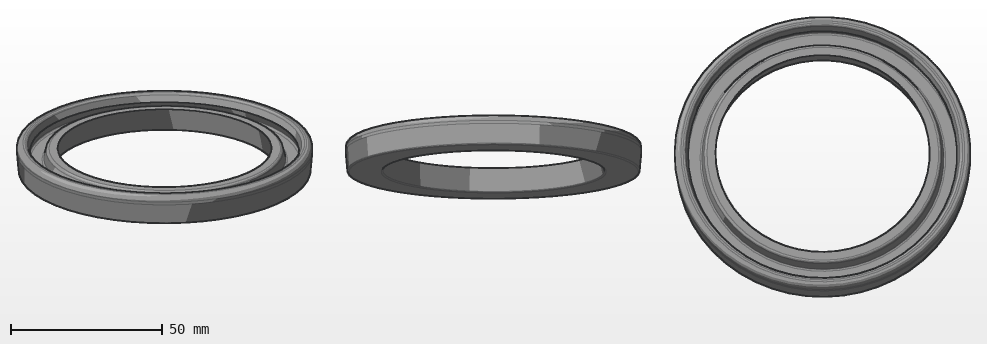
import cadquery as cq
import math

outer_diameter = 98.0
height = 10.0

rim_edge_radius = 2.0
rim_band_height = 1.0
skirt_draft = 5.0
bottom_edge_radius = 0.5
rim_inner_edge_radius = 1.0

lip_radius = 44.5
lip_height = 7.0
lip_upper_angle = 20.0
lip_undercut_angle = 15.0
floor_height = 4.0
floor_fillet = 0.6

bore_top_radius = 35.4
bore_draft = 10.0
ring_height = 8.0
ring_top_radius = 39.1
ring_draft = 15.0
ring_edge_radius = 1.0


def taper(drop, angle):
    """Radial shift of a wall that leans by angle over a vertical drop."""
    return drop * math.tan(math.radians(angle))


outer_radius = outer_diameter / 2
band_top = height - rim_edge_radius
band_bottom = band_top - rim_band_height
skirt_bottom_radius = outer_radius - taper(band_bottom, skirt_draft)
rim_inner_radius = lip_radius + taper(height - lip_height, lip_upper_angle)
channel_outer_radius = lip_radius + taper(lip_height - floor_height, lip_undercut_angle)
ring_foot_radius = ring_top_radius + taper(ring_height - floor_height, ring_draft)
bore_bottom_radius = bore_top_radius + taper(ring_height, bore_draft)


def ring_profile():
    """Half section of the ring with sharp corners, radius along X and height along Z."""
    return (
        cq.Workplane("XZ")
        .moveTo(bore_bottom_radius, 0)
        .lineTo(skirt_bottom_radius, 0)
        .lineTo(outer_radius, band_bottom)
        .lineTo(outer_radius, height)
        .lineTo(rim_inner_radius, height)
        .lineTo(lip_radius, lip_height)
        .lineTo(channel_outer_radius, floor_height)
        .lineTo(ring_foot_radius, floor_height)
        .lineTo(ring_top_radius, ring_height)
        .lineTo(bore_top_radius, ring_height)
        .close()
    )


def circular_edge(body, radius, z):
    """Pick the circular edge of the given radius at height z."""
    tolerance = 1e-4

    def matches(edge):
        return (
            edge.geomType() == "CIRCLE"
            and abs(edge.radius() - radius) < tolerance
            and abs(edge.Center().z - z) < tolerance
        )

    return body.edges().filter(matches)


def round_edges(body):
    """Round the rim, channel, ring and underside corners."""
    rounded_corners = [
        (outer_radius, height, rim_edge_radius),
        (rim_inner_radius, height, rim_inner_edge_radius),
        (channel_outer_radius, floor_height, floor_fillet),
        (ring_foot_radius, floor_height, floor_fillet),
        (ring_top_radius, ring_height, ring_edge_radius),
        (skirt_bottom_radius, 0, bottom_edge_radius),
        (bore_bottom_radius, 0, bottom_edge_radius),
    ]
    for radius, z, fillet_radius in rounded_corners:
        body = circular_edge(body, radius, z).fillet(fillet_radius)
    return body


full_turn = 360
sharp_ring = ring_profile().revolve(full_turn, (0, 0, 0), (0, 1, 0))
result = round_edges(sharp_ring)